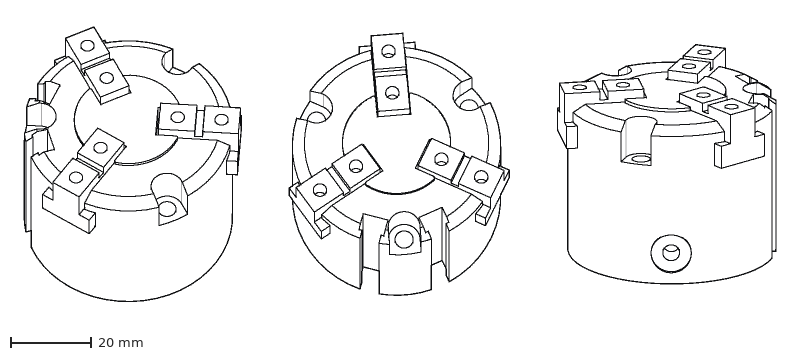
import cadquery as cq
import math

BODY_RADIUS = 25.95
BODY_TOP = 41.0
CHAMFER_WIDTH = 3.0
CHAMFER_HEIGHT = 2.0
BOSS_RADIUS = 13.45
BOSS_HEIGHT = 0.8
BOSS_CORNER_RADIUS = 0.5
BOSS_TOP = BODY_TOP + BOSS_HEIGHT

JAW_ANGLES = (30, 150, 270)
JAW_TOP = 44.0
JAW_INNER = 7.75
JAW_OUTER = 27.7
JAW_WIDTH = 7.9
JAW_FOOT_WIDTH = 13.95
JAW_FOOT_BOTTOM = 30.55
JAW_FOOT_TOP = 36.4
JAW_SIDE_GAP = 0.2
JAW_END_GAP = 0.65
GROOVE_INNER = 16.8
GROOVE_WIDTH = 2.0
JAW_HOLE_DIAMETER = 3.3
JAW_HOLE_RADII = (12.3, 23.25)
JAW_HOLE_DEPTH = 6.6
DRILL_POINT_ANGLE = 118

MOUNT_ANGLES = (90, 210, 330)
MOUNT_RADIUS = 22.0
MOUNT_HOLE_DIAMETER = 4.5
POCKET_WIDTH = 7.9
POCKET_FLOOR = 31.15

SENSOR_ANGLES = (190, 230)
SENSOR_FLOOR = 20.0
SENSOR_LIP = 24.0
SENSOR_WIDTH = 6.4
SENSOR_MOUTH = 4.9

PORT_ANGLE = 110
PORT_HEIGHT = 7.95
PORT_DIAMETER = 4.2
PORT_DEPTH = 6.6
SPOTFACE_DIAMETER = 10.0
SPOTFACE_DISTANCE = 25.1

CUT_MARGIN = 2.75
CUT_REACH = BODY_RADIUS + CUT_MARGIN


def radial_block(inner, outer, width, bottom, top):
    """Block that runs along +X from one radius to another, centred on the X axis."""
    block = cq.Workplane("XY").box(outer - inner, width, top - bottom, centered=(False, True, False))
    return block.translate((inner, 0, bottom))


def turned(shape, angle):
    """Shape turned about the body axis."""
    return shape.rotate((0, 0, 0), (0, 0, 1), angle)


def make_body():
    """Cylinder with a sloped top rim."""
    profile = (
        cq.Workplane("XZ")
        .lineTo(BODY_RADIUS, 0)
        .lineTo(BODY_RADIUS, BODY_TOP - CHAMFER_HEIGHT)
        .lineTo(BODY_RADIUS - CHAMFER_WIDTH, BODY_TOP)
        .lineTo(0, BODY_TOP)
        .close()
    )
    return profile.revolve(360, (0, 0, 0), (0, 1, 0))


def make_jaw_slot():
    """Clearance around the upper part of a jaw."""
    slot_width = JAW_WIDTH + 2 * JAW_SIDE_GAP
    return radial_block(JAW_INNER - JAW_END_GAP, CUT_REACH, slot_width, JAW_FOOT_TOP, JAW_TOP)


def make_boss():
    """Low disc split at its rim by the jaw slots, with each rim corner rounded."""
    boss = cq.Workplane("XY", origin=(0, 0, BODY_TOP)).circle(BOSS_RADIUS).extrude(BOSS_HEIGHT)
    boss = turned(boss, JAW_ANGLES[0])
    for angle in JAW_ANGLES:
        boss = boss.cut(turned(make_jaw_slot(), angle))
    corners = boss.edges("|Z").filter(lambda edge: is_on_boss_rim(edge.Center()))
    return corners.fillet(BOSS_CORNER_RADIUS)


def is_on_boss_rim(point):
    """True for a point at the outer radius of the boss."""
    return math.isclose(math.hypot(point.x, point.y), BOSS_RADIUS, rel_tol=1e-4)


def make_jaw_hole(radius):
    """Blind drilled hole with a conical bottom, entering from the jaw top."""
    hole_radius = JAW_HOLE_DIAMETER / 2
    point_length = hole_radius / math.tan(math.radians(DRILL_POINT_ANGLE / 2))
    profile = (
        cq.Workplane("XZ")
        .lineTo(hole_radius, 0)
        .lineTo(hole_radius, -JAW_HOLE_DEPTH)
        .lineTo(0, -JAW_HOLE_DEPTH - point_length)
        .close()
    )
    return profile.revolve(360, (0, 0, 0), (0, 1, 0)).translate((radius, 0, JAW_TOP))


def make_jaw():
    """T-shaped jaw with a cross groove and two holes in its top face."""
    stem = radial_block(JAW_INNER, JAW_OUTER, JAW_WIDTH, JAW_FOOT_BOTTOM, JAW_TOP)
    foot = radial_block(JAW_INNER, JAW_OUTER, JAW_FOOT_WIDTH, JAW_FOOT_BOTTOM, JAW_FOOT_TOP)
    groove = radial_block(GROOVE_INNER, GROOVE_INNER + GROOVE_WIDTH, JAW_WIDTH, BOSS_TOP, JAW_TOP)
    jaw = stem.union(foot).cut(groove)
    for radius in JAW_HOLE_RADII:
        jaw = jaw.cut(make_jaw_hole(radius))
    return jaw


def make_mount_cut():
    """Round-ended pocket open to the outside, with a through hole in its floor."""
    pocket = radial_block(MOUNT_RADIUS, CUT_REACH, POCKET_WIDTH, POCKET_FLOOR, BODY_TOP)
    pocket_end = (
        cq.Workplane("XY", origin=(MOUNT_RADIUS, 0, POCKET_FLOOR))
        .circle(POCKET_WIDTH / 2)
        .extrude(BODY_TOP - POCKET_FLOOR)
    )
    hole = cq.Workplane("XY", origin=(MOUNT_RADIUS, 0, 0)).circle(MOUNT_HOLE_DIAMETER / 2).extrude(BODY_TOP)
    return pocket.union(pocket_end).union(hole)


def make_sensor_slot():
    """Full-height slot that is wider inside than at its mouth."""
    chamber = radial_block(SENSOR_FLOOR, SENSOR_LIP, SENSOR_WIDTH, 0, BODY_TOP)
    mouth = radial_block(SENSOR_FLOOR, CUT_REACH, SENSOR_MOUTH, 0, BODY_TOP)
    return chamber.union(mouth)


def make_port_cut():
    """Spotface and blind hole, both pointing radially."""
    face_plane = cq.Workplane("YZ", origin=(SPOTFACE_DISTANCE, 0, PORT_HEIGHT))
    spotface = face_plane.circle(SPOTFACE_DIAMETER / 2).extrude(CUT_REACH - SPOTFACE_DISTANCE)
    hole = face_plane.circle(PORT_DIAMETER / 2).extrude(-PORT_DEPTH)
    return spotface.union(hole)


result = make_body()
for angle in MOUNT_ANGLES:
    result = result.cut(turned(make_mount_cut(), angle))
for angle in SENSOR_ANGLES:
    result = result.cut(turned(make_sensor_slot(), angle))
result = result.cut(turned(make_port_cut(), PORT_ANGLE))
for angle in JAW_ANGLES:
    result = result.cut(turned(make_jaw_slot(), angle))
result = result.union(make_boss())
for angle in JAW_ANGLES:
    result = result.union(turned(make_jaw(), angle))